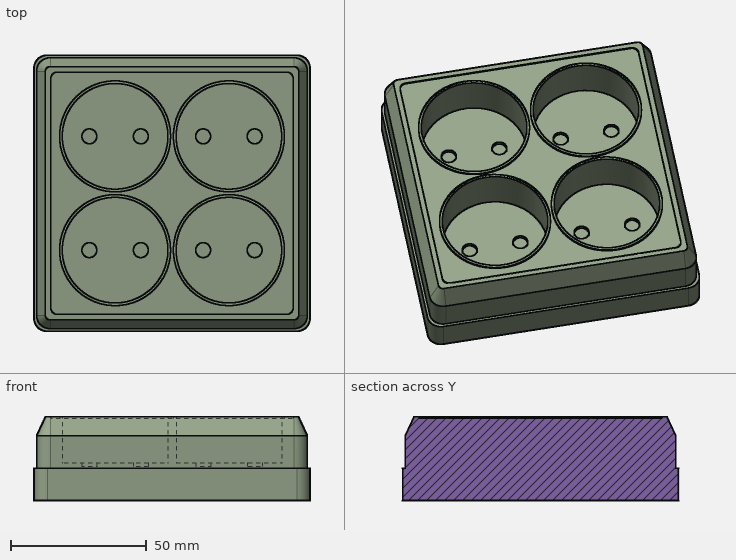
import cadquery as cq
import math

BASE_SIDE = 102.0
BASE_HEIGHT = 12.0

COVER_SIDE = 100.0
COVER_WALL_TOP = 24.0
TOTAL_HEIGHT = 31.0
SLOPE_ANGLE = 25.0
CORNER_RADIUS = 5.0

RIM_WIDTH = 2.0
RECESS_CORNER_RADIUS = 2.5
RECESS_DEPTH = 0.5

WELL_SPACING = 42.0
WELL_DIAMETER = 39.0
WELL_FLOOR = 14.0
RING_DIAMETER = 41.0

PIN_DIAMETER = 5.5
PIN_SPACING = 19.0
PIN_DEPTH = 1.3

SLOPE_INSET = (TOTAL_HEIGHT - COVER_WALL_TOP) * math.tan(math.radians(SLOPE_ANGLE))
RIM_SIDE = COVER_SIDE - 2 * SLOPE_INSET
RECESS_SIDE = RIM_SIDE - 2 * RIM_WIDTH
RECESS_FLOOR = TOTAL_HEIGHT - RECESS_DEPTH


def rounded_block(side, corner_radius, bottom, top):
    """Square block centred on Z with rounded vertical edges."""
    block = cq.Workplane("XY").workplane(offset=bottom).rect(side, side).extrude(top - bottom)
    return block.edges("|Z").fillet(corner_radius)


def sloped_top():
    """Upper part of the cover; the corners narrow to cones as the sides slope inward."""
    outline = cq.Sketch().rect(COVER_SIDE, COVER_SIDE).vertices().fillet(CORNER_RADIUS)
    rim = cq.Sketch().rect(RIM_SIDE, RIM_SIDE).vertices().fillet(CORNER_RADIUS - SLOPE_INSET)
    rim = rim.moved(cq.Location(cq.Vector(0, 0, TOTAL_HEIGHT - COVER_WALL_TOP)))
    return cq.Workplane("XY").workplane(offset=COVER_WALL_TOP).placeSketch(outline, rim).loft(ruled=True)


def cylinder(x, y, diameter, bottom, top):
    """Vertical cylinder between two heights."""
    return cq.Workplane("XY", origin=(x, y, bottom)).circle(diameter / 2).extrude(top - bottom)


def add_socket(body, x, y):
    """Body with one socket added: raised ring, round well and two contact holes in its floor."""
    body = body.union(cylinder(x, y, RING_DIAMETER, WELL_FLOOR, TOTAL_HEIGHT))
    body = body.cut(cylinder(x, y, WELL_DIAMETER, WELL_FLOOR, TOTAL_HEIGHT))
    for side in (-1, 1):
        pin_x = x + side * PIN_SPACING / 2
        body = body.cut(cylinder(pin_x, y, PIN_DIAMETER, WELL_FLOOR - PIN_DEPTH, WELL_FLOOR))
    return body


base = rounded_block(BASE_SIDE, CORNER_RADIUS, 0, BASE_HEIGHT)
cover_wall = rounded_block(COVER_SIDE, CORNER_RADIUS, BASE_HEIGHT, COVER_WALL_TOP)
result = base.union(cover_wall).union(sloped_top())

result = result.cut(rounded_block(RECESS_SIDE, RECESS_CORNER_RADIUS, RECESS_FLOOR, TOTAL_HEIGHT))

for column in (-1, 1):
    for row in (-1, 1):
        result = add_socket(result, column * WELL_SPACING / 2, row * WELL_SPACING / 2)